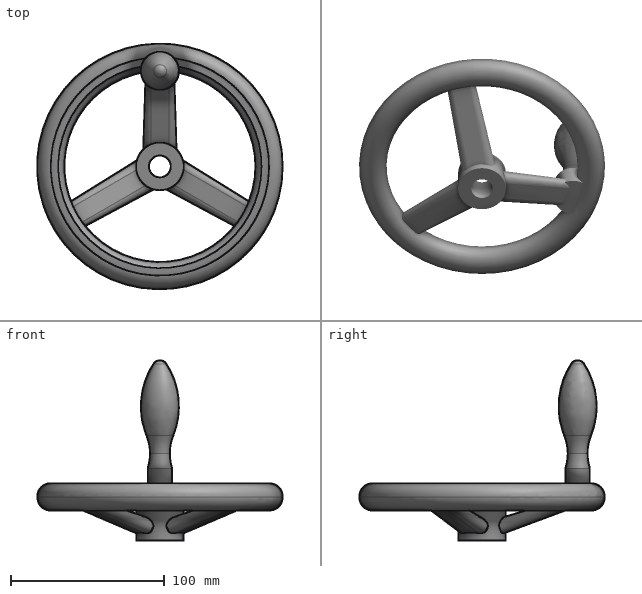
import cadquery as cq
import math

RIM_OUTER_RADIUS = 80.0
RIM_TUBE_RADIUS = 9.0
RIM_BOTTOM = 19.5
RIM_STEP_DEPTH = 1.5
RIM_CENTER_RADIUS = RIM_OUTER_RADIUS - RIM_TUBE_RADIUS
RIM_CENTER_HEIGHT = RIM_BOTTOM + RIM_TUBE_RADIUS
RIM_TOP = RIM_BOTTOM + 2 * RIM_TUBE_RADIUS
STEP_HEIGHT = RIM_TOP - RIM_STEP_DEPTH

HUB_RADIUS = 15.5
HUB_HEIGHT = 20.0
BORE_DIAMETER = 14.0

SPOKE_ANGLES = (90, 210, 330)
SPOKE_FLAT_WIDTH = 11.7
SPOKE_INNER_RADIUS = 11.2
SPOKE_INNER_HEIGHT = 9.1
SPOKE_INNER_THICKNESS = 10.2
SPOKE_OUTER_RADIUS = 67.2
SPOKE_OUTER_HEIGHT = 28.0
SPOKE_OUTER_THICKNESS = 6.7

HANDLE_OFFSET = 62.2
BOSS_RADIUS = 12.5
BOSS_BOTTOM = RIM_BOTTOM + RIM_STEP_DEPTH
STUB_RADIUS = 8.0
STUB_TOP = 47.2
NECK_RADIUS = 6.5
NECK_HEIGHT = 56.8
GRIP_START_RADIUS = 8.8
GRIP_START = 68.5
GRIP_RADIUS = 12.5
GRIP_WIDEST_HEIGHT = 87.2
CAP_RADIUS = 4.2
CAP_START = 115.2
HANDLE_TOP = 117.5


def cylinder(radius, bottom, top):
    return cq.Workplane("XY").workplane(offset=bottom).circle(radius).extrude(top - bottom)


def make_rim():
    ring = (
        cq.Workplane("XZ")
        .center(RIM_CENTER_RADIUS, RIM_CENTER_HEIGHT)
        .circle(RIM_TUBE_RADIUS)
        .revolve(360, (-RIM_CENTER_RADIUS, 0), (-RIM_CENTER_RADIUS, 1))
    )
    return ring.cut(cylinder(RIM_CENTER_RADIUS, STEP_HEIGHT, RIM_TOP))


def make_spoke(angle):
    run = SPOKE_OUTER_RADIUS - SPOKE_INNER_RADIUS
    rise = SPOKE_OUTER_HEIGHT - SPOKE_INNER_HEIGHT
    inner_end = cq.Plane((SPOKE_INNER_RADIUS, 0, SPOKE_INNER_HEIGHT), (0, 1, 0), (run, 0, rise))
    spoke = (
        cq.Workplane(inner_end)
        .slot2D(SPOKE_FLAT_WIDTH + SPOKE_INNER_THICKNESS, SPOKE_INNER_THICKNESS)
        .workplane(offset=math.hypot(run, rise))
        .slot2D(SPOKE_FLAT_WIDTH + SPOKE_OUTER_THICKNESS, SPOKE_OUTER_THICKNESS)
        .loft(ruled=True)
    )
    return spoke.rotate((0, 0, 0), (0, 0, 1), angle)


def neck_arc_middle(end_radius, end_height):
    """Middle of the arc that leaves the neck parallel to the handle axis."""
    widening = end_radius - NECK_RADIUS
    length = end_height - NECK_HEIGHT
    arc_radius = (widening**2 + length**2) / (2 * widening)
    half_angle = math.asin(length / arc_radius) / 2
    return (
        NECK_RADIUS + arc_radius * (1 - math.cos(half_angle)),
        NECK_HEIGHT + arc_radius * math.sin(half_angle),
    )


def make_handle():
    cap_height = HANDLE_TOP - CAP_START
    cap_sphere_radius = (CAP_RADIUS**2 + cap_height**2) / (2 * cap_height)
    cap_half_angle = math.asin(CAP_RADIUS / cap_sphere_radius) / 2
    cap_middle = (
        cap_sphere_radius * math.sin(cap_half_angle),
        HANDLE_TOP - cap_sphere_radius * (1 - math.cos(cap_half_angle)),
    )
    handle = (
        cq.Workplane("XZ")
        .moveTo(0, RIM_CENTER_HEIGHT)
        .lineTo(STUB_RADIUS, RIM_CENTER_HEIGHT)
        .lineTo(STUB_RADIUS, STUB_TOP)
        .threePointArc(neck_arc_middle(STUB_RADIUS, STUB_TOP), (NECK_RADIUS, NECK_HEIGHT))
        .threePointArc(neck_arc_middle(GRIP_START_RADIUS, GRIP_START), (GRIP_START_RADIUS, GRIP_START))
        .threePointArc((GRIP_RADIUS, GRIP_WIDEST_HEIGHT), (CAP_RADIUS, CAP_START))
        .threePointArc(cap_middle, (0, HANDLE_TOP))
        .close()
        .revolve(360, (0, 0), (0, 1))
    )
    return handle.translate((0, HANDLE_OFFSET, 0))


def make_boss():
    """Post under the handle, trimmed so that it never stands proud of the rim's outer half."""
    post = cylinder(BOSS_RADIUS, BOSS_BOTTOM, RIM_TOP).translate((0, HANDLE_OFFSET, 0))
    return post.intersect(cylinder(RIM_CENTER_RADIUS, BOSS_BOTTOM, RIM_TOP))


result = make_rim().union(cylinder(HUB_RADIUS, 0, HUB_HEIGHT))
for spoke_angle in SPOKE_ANGLES:
    result = result.union(make_spoke(spoke_angle))
result = result.union(make_boss()).union(make_handle())
result = result.cut(cylinder(BORE_DIAMETER / 2, 0, HUB_HEIGHT))